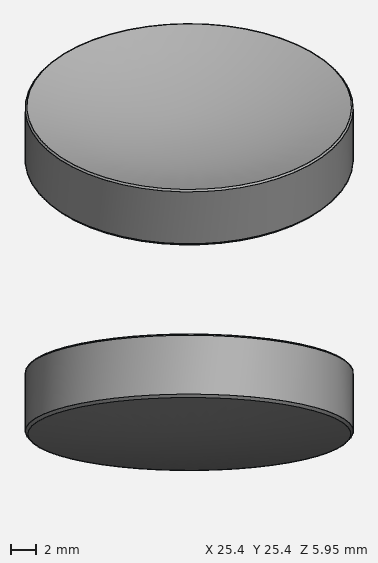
import cadquery as cq
import math

lens_diameter = 25.4
overall_height = 5.95
center_thickness = 4.0
convex_sag = 0.915
top_bevel = 0.14
bottom_bevel_width = 0.2
bottom_bevel_height = 0.225

lens_radius = lens_diameter / 2
concave_edge_radius = lens_radius - top_bevel
convex_edge_radius = lens_radius - bottom_bevel_width
concave_sag = overall_height - center_thickness


def sphere_radius(edge_radius, sag):
    """Radius of the sphere whose cap has this edge radius and depth."""
    return (edge_radius**2 + sag**2) / (2 * sag)


def cap_height(edge_radius, sag, radius):
    """Height above the cap's vertex at a given distance from the axis."""
    sphere = sphere_radius(edge_radius, sag)
    return sphere - math.sqrt(sphere**2 - radius**2)


def lens_profile():
    """Half section in the YZ plane, from the axis out to the rim on the -Y side."""
    convex_mid_radius = convex_edge_radius / 2
    convex_mid_height = cap_height(convex_edge_radius, convex_sag, convex_mid_radius)
    concave_mid_radius = concave_edge_radius / 2
    concave_mid_height = center_thickness + cap_height(
        concave_edge_radius, concave_sag, concave_mid_radius
    )
    return (
        cq.Workplane("YZ")
        .moveTo(0, 0)
        .threePointArc((-convex_mid_radius, convex_mid_height), (-convex_edge_radius, convex_sag))
        .lineTo(-lens_radius, convex_sag + bottom_bevel_height)
        .lineTo(-lens_radius, overall_height - top_bevel)
        .lineTo(-concave_edge_radius, overall_height)
        .threePointArc((-concave_mid_radius, concave_mid_height), (0, center_thickness))
        .close()
    )


result = lens_profile().revolve(360, (0, 0, 0), (0, 1, 0))